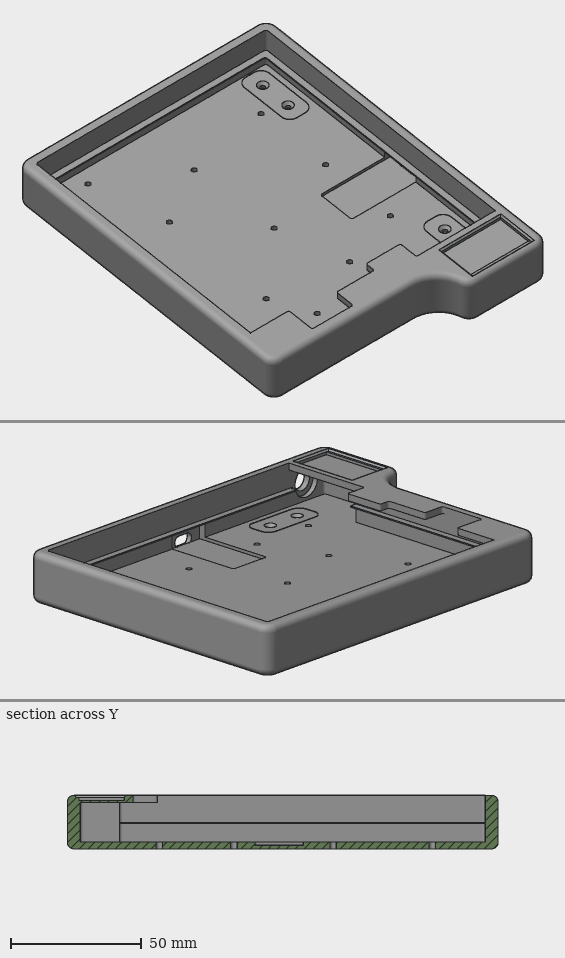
import cadquery as cq
import math

length, width, height = 165.1, 126.3, 20.6
main_length = 150.1
corner_radius = 5.1
edge_fillet = 2.6
tab_corner_y = 90.5
sweep_start_y = 71.5

wall = 5.1
cavity_end_x = main_length - wall
cavity_back_y = width - wall
cavity_corner = 1.2
floor_z = 2.8
ledge_width = 3.0
ledge_top_z = 10.2
ledge_thickness = 0.5
ledge_bottom_z = ledge_top_z - ledge_thickness

plate_thickness = 2.8
plate_bottom_z = height - plate_thickness
plate_corner = 0.8
plate_edge_x = 139.8
plate_tongue_x = 130.5
plate_tongue_front_y, plate_tongue_back_y = 64.0, 81.4
plate_step_x = 135.2
plate_foot_x = 131.3
window_front_y, window_back_y = 24.5, 45.0

compartment_start_x = 140.7
compartment_end_x = length - wall
compartment_front_y = 90.6

pin_hole_diameter = 2.3
pin_holes = [
    (25.3, 101.4), (63.2, 101.4), (101.2, 101.4), (129.8, 101.4),
    (110.8, 72.6), (32.7, 61.3), (77.6, 63.0), (124.8, 44.2),
    (48.9, 34.8), (105.8, 34.8), (134.5, 26.1), (12.2, 25.3), (59.6, 15.7),
]

pad_centers_x = (20.8, 127.8)
pad_y = 112.5
pad_length, pad_width = 30.0, 12.5
pad_corner = 8.5 / 2
pad_depth = 0.2
screw_pitch = 14.9
screw_diameter = 2.3
screw_head_diameter = 4.8

port_left_x, port_right_x = 74.8, 93.1
port_front_y = 88.8
port_corner = 0.8
port_depth = 1.3
port_wall = 2.3
port_opening_width, port_opening_height = 9.2, 4.6
port_opening_z = 3.3

jack_x, jack_z = 149.6, 10.4
jack_diameter = 8.5
jack_recess_diameter = 12.5
jack_recess_depth = 2.3

badge_left_x, badge_right_x = 143.3, 160.5
badge_front_y, badge_back_y = 91.1, 120.9
badge_depth = 2.0
rim_depth = 0.8
rim_bevel = 0.75
rim_right_x = 162.3


def block(x0, x1, y0, y1, z0, z1):
    """Box between two opposite corners."""
    return cq.Workplane("XY").box(x1 - x0, y1 - y0, z1 - z0, centered=False).translate((x0, y0, z0))


def rounded_block(x0, x1, y0, y1, z0, z1, radius):
    """Box with rounded vertical edges."""
    return block(x0, x1, y0, y1, z0, z1).edges("|Z").fillet(radius)


def make_body():
    r = corner_radius
    tab_center_x = length - r
    dx = tab_center_x - main_length
    dy = tab_corner_y - sweep_start_y
    sweep_radius = (dx**2 + dy**2 - r**2) / (2 * (dx + r))
    angle = math.atan2(-dy, sweep_radius - dx)
    meeting_point = (tab_center_x + r * math.cos(angle), tab_corner_y + r * math.sin(angle))
    outline = (
        cq.Workplane("XY")
        .moveTo(r, 0)
        .lineTo(main_length - r, 0)
        .tangentArcPoint((main_length, r), relative=False)
        .lineTo(main_length, sweep_start_y)
        .tangentArcPoint(meeting_point, relative=False)
        .tangentArcPoint((length, tab_corner_y), relative=False)
        .lineTo(length, width - r)
        .tangentArcPoint((length - r, width), relative=False)
        .lineTo(r, width)
        .tangentArcPoint((0, width - r), relative=False)
        .lineTo(0, r)
        .tangentArcPoint((r, 0), relative=False)
        .close()
    )
    return outline.extrude(height).faces("<Z or >Z").edges().fillet(edge_fillet)


def make_cavity():
    inner = wall + ledge_width
    inner_end_x = cavity_end_x - ledge_width
    inner_back_y = cavity_back_y - ledge_width
    above = rounded_block(wall, cavity_end_x, wall, cavity_back_y, ledge_top_z, height, cavity_corner)
    inside = rounded_block(inner, inner_end_x, inner, inner_back_y, floor_z, height, cavity_corner)
    below = rounded_block(wall, cavity_end_x, wall, cavity_back_y, floor_z, ledge_bottom_z, cavity_corner)
    compartment = rounded_block(
        compartment_start_x, compartment_end_x, compartment_front_y, cavity_back_y,
        floor_z, plate_bottom_z, cavity_corner,
    )
    return above.union(inside).union(below).union(compartment)


def make_plate():
    overlap_x = cavity_end_x + wall / 3
    outline = [
        (plate_edge_x, cavity_back_y),
        (plate_edge_x, plate_tongue_back_y),
        (plate_tongue_x, plate_tongue_back_y),
        (plate_tongue_x, plate_tongue_front_y),
        (plate_step_x, plate_tongue_front_y),
        (plate_step_x, window_back_y),
        (cavity_end_x, window_back_y),
        (cavity_end_x, window_front_y),
        (plate_foot_x, window_front_y),
        (plate_foot_x, wall),
        (overlap_x, wall),
        (overlap_x, cavity_back_y),
    ]
    plate = (
        cq.Workplane("XY", origin=(0, 0, plate_bottom_z))
        .polyline(outline)
        .close()
        .extrude(plate_thickness)
    )
    stepped_edge = cq.selectors.BoxSelector(
        (plate_tongue_x - plate_corner, window_front_y - plate_corner, 0),
        (cavity_end_x + plate_corner, plate_tongue_back_y + plate_corner, height),
    )
    return plate.edges("|Z").edges(stepped_edge).fillet(plate_corner)


def make_pin_holes():
    return cq.Workplane("XY").pushPoints(pin_holes).circle(pin_hole_diameter / 2).extrude(floor_z)


def make_pad(center_x):
    pad_z = floor_z - pad_depth
    cutter = rounded_block(
        center_x - pad_length / 2, center_x + pad_length / 2, pad_y - pad_width / 2, pad_y + pad_width / 2,
        pad_z, floor_z, pad_corner,
    )
    sink_depth = (screw_head_diameter - screw_diameter) / 2
    for screw_x in (center_x - screw_pitch / 2, center_x + screw_pitch / 2):
        shank = cq.Workplane("XY", origin=(screw_x, pad_y, 0)).circle(screw_diameter / 2).extrude(pad_z)
        sink = cq.Solid.makeCone(
            screw_diameter / 2, screw_head_diameter / 2, sink_depth,
            pnt=cq.Vector(screw_x, pad_y, pad_z - sink_depth),
        )
        cutter = cutter.union(shank).union(cq.Workplane(sink))
    return cutter


def make_port():
    pocket_z = floor_z - port_depth
    pocket_back_y = width - port_wall
    floor_pocket = rounded_block(
        port_left_x, port_right_x, port_front_y, pocket_back_y, pocket_z, floor_z, port_corner
    )
    wall_pocket = block(port_left_x, port_right_x, cavity_back_y, pocket_back_y, pocket_z, ledge_bottom_z)
    opening_x = (port_left_x + port_right_x) / 2
    opening = (
        cq.Workplane("XZ", origin=(opening_x, width, port_opening_z))
        .slot2D(port_opening_width, port_opening_height)
        .extrude(port_wall)
    )
    return floor_pocket.union(wall_pocket).union(opening)


def make_jack_hole():
    hole = cq.Workplane("XZ", origin=(jack_x, width, jack_z)).circle(jack_diameter / 2).extrude(wall)
    recess = (
        cq.Workplane("XZ", origin=(jack_x, cavity_back_y + jack_recess_depth, jack_z))
        .circle(jack_recess_diameter / 2)
        .extrude(jack_recess_depth)
    )
    return hole.union(recess)


def make_badge_recess():
    recess = block(badge_left_x, badge_right_x, badge_front_y, badge_back_y, height - badge_depth, height)
    rim = block(
        badge_left_x - rim_bevel, rim_right_x, badge_front_y - rim_bevel, badge_back_y + rim_bevel,
        height - rim_depth, height,
    )
    return recess.union(rim.faces("<Z").edges().chamfer(rim_bevel))


result = make_body().cut(make_cavity()).union(make_plate())
result = result.cut(make_pin_holes())
for pad_x in pad_centers_x:
    result = result.cut(make_pad(pad_x))
result = result.cut(make_port())
result = result.cut(make_jack_hole())
result = result.cut(make_badge_recess())